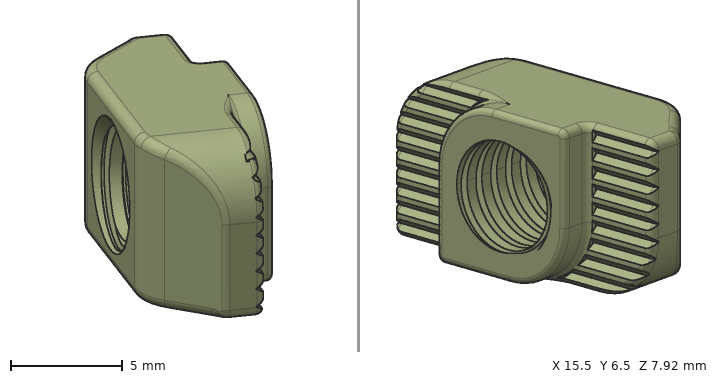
import cadquery as cq
import math


length = 15.5
depth = 6.5
width = 7.92
wing_depth = 5.0
bottom_length = 10.0
tip_start = 3.15
flank_blend_radius = 2.5
turn_radius = 3.3
edge_radius = 0.5

neck_length = 7.65
neck_rim_radius = 0.3
root_radius = 0.33
wing_rim_radius = 0.4

tooth_pitch = 0.857
tooth_depth = 0.3
groove_angle = 90.0
groove_end_radius = 0.25
tip_clearance = 0.03

thread_diameter = 6.0
thread_pitch = 1.0
thread_root_width = thread_pitch / 8
thread_mouth_width = 0.4
thread_start_angle = 0.0
bore_diameter = 5.23
mouth_diameter = 6.26

thread_overlap = 0.1
tolerance = 0.01


def block(size_x, y_start, y_end):
    """Box centred on X and Z, reaching from y_start to y_end."""
    box = cq.Workplane("XY").box(size_x, y_end - y_start, width, centered=(True, False, True))
    return box.translate((0, y_start, 0))


def turn_block(size_x, y_start, y_end):
    """Block with its two opposite turn corners rounded."""
    rounded = block(size_x, y_start, y_end)
    rounded = rounded.faces(">X").edges(">Z").fillet(turn_radius)
    return rounded.faces("<X").edges("<Z").fillet(turn_radius)


def outer_envelope():
    """Front outline of the nut: turn corners plus small radii on the other two corners."""
    envelope = turn_block(length, 0, depth)
    envelope = envelope.faces("<X").edges(">Z").fillet(edge_radius)
    return envelope.faces(">X").edges("<Z").fillet(edge_radius)


def flank_prism():
    """Tapered XY section of the nut, with the blends between front face and flanks."""
    half_bottom = bottom_length / 2
    half_length = length / 2
    prism = (
        cq.Workplane("XY", origin=(0, 0, -width))
        .moveTo(-half_bottom, 0)
        .lineTo(half_bottom, 0)
        .lineTo(half_length, tip_start)
        .lineTo(half_length, depth)
        .lineTo(-half_length, depth)
        .lineTo(-half_length, tip_start)
        .close()
        .extrude(2 * width)
    )
    return prism.faces("<Y").edges("|Z").fillet(flank_blend_radius)


def wings_and_neck():
    """Oversized wing slab with the neck on it and the root fillet around the neck."""
    slab = cq.Workplane("XY").box(2 * length, wing_depth, 2 * width, centered=(True, False, True))
    neck = turn_block(neck_length, wing_depth - tolerance, depth)
    root_edges = cq.selectors.BoxSelector(
        (-neck_length, wing_depth - tolerance, -0.9 * width),
        (neck_length, wing_depth + tolerance, 0.9 * width),
    )
    return slab.union(neck).edges(root_edges).fillet(root_radius)


def round_edges(body):
    """Round the front edges, the wing rims and the neck rim."""
    body = body.faces("<Y").edges(">Z").fillet(edge_radius)
    reach = (length + neck_length) / 4
    for side in (1, -1):
        edge = body.edges(cq.NearestToPointSelector((-side * reach, wing_depth, side * width / 2)))
        body = edge.fillet(wing_rim_radius)
    return body.faces(">Y").edges().fillet(neck_rim_radius)


def tip_reach(z):
    """Distance in X from the hole axis to the tip face of the +X wing at height z."""
    rise = max(0, z - (width / 2 - turn_radius))
    return length / 2 - turn_radius + math.sqrt(turn_radius**2 - rise**2)


def tooth_groove(z):
    """V groove along the +X wing at height z, its floor curving down over the wing tip."""
    floor = wing_depth - tooth_depth
    height = tooth_depth + tolerance
    half_opening = height * math.tan(math.radians(groove_angle / 2))
    pivot_x = tip_reach(z) - groove_end_radius + tip_clearance
    pivot_y = floor - groove_end_radius
    section = (
        cq.Workplane("YZ", origin=(pivot_x, 0, z))
        .moveTo(floor, 0)
        .lineTo(floor + height, half_opening)
        .lineTo(floor + height, -half_opening)
        .close()
    )
    straight = section.extrude(-pivot_x)
    straight = straight.cut(turn_block(neck_length + 2 * root_radius, 0, depth))
    bend = section.wires().toPending().revolve(90, (pivot_y, 1, 0), (pivot_y, 0, 0))
    return straight.union(bend)


def thread_cutter():
    """Helical ridge around Y that cuts the thread groove into the wall of the bore."""
    bore_radius = bore_diameter / 2
    major_radius = thread_diameter / 2
    root_half = thread_root_width / 2
    inner_radius = bore_radius - thread_overlap
    flank_slope = (thread_mouth_width / 2 - root_half) / (major_radius - bore_radius)
    inner_half = root_half + flank_slope * (major_radius - inner_radius)
    helix = cq.Wire.makeHelix(thread_pitch, depth + 2 * thread_pitch, bore_radius)
    ridge = (
        cq.Workplane("XZ")
        .moveTo(inner_radius, -inner_half)
        .lineTo(major_radius, -root_half)
        .lineTo(major_radius, root_half)
        .lineTo(inner_radius, inner_half)
        .close()
        .sweep(cq.Workplane(obj=helix), isFrenet=True)
    )
    ridge = ridge.rotate((0, 0, 0), (1, 0, 0), -90).translate((0, -thread_pitch, 0))
    return ridge.rotate((0, 0, 0), (0, 1, 0), thread_start_angle)


def cut_threaded_hole(body):
    """Cut the thread groove, the bore and the 45 degree cone at its front end."""
    mouth_radius = mouth_diameter / 2
    bore = cq.Workplane("XZ").circle(bore_diameter / 2).extrude(-depth)
    cone = cq.Workplane("XY").polyline([(0, 0), (mouth_radius, 0), (0, mouth_radius)]).close()
    cone = cone.revolve(360, (0, 0), (0, 1))
    return body.cut(thread_cutter()).cut(bore).cut(cone)


def cut_teeth(body):
    """Cut the evenly spaced tooth grooves into both wings."""
    grooves_per_side = math.floor(width / 2 / tooth_pitch)
    grooves = cq.Workplane("XY")
    for index in range(-grooves_per_side, grooves_per_side + 1):
        grooves = grooves.add(tooth_groove(index * tooth_pitch))
    return body.cut(grooves).cut(grooves.rotate((0, 0, 0), (0, 1, 0), 180))


result = wings_and_neck().intersect(outer_envelope()).intersect(flank_prism())
result = round_edges(result)
result = cut_threaded_hole(result)
result = cut_teeth(result)